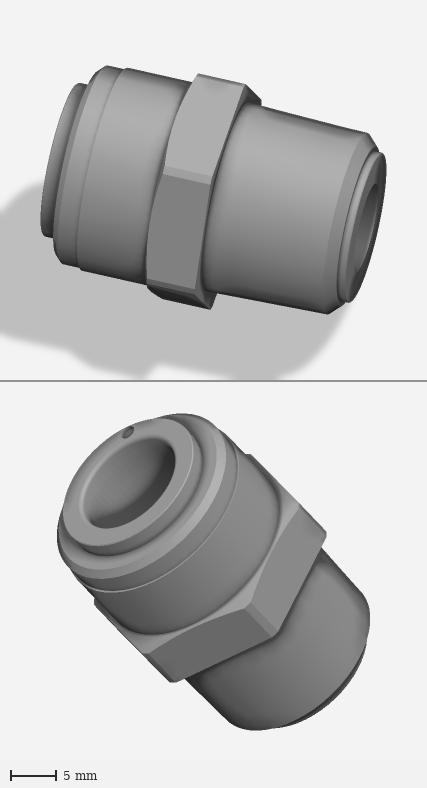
import cadquery as cq
import math

collar_front = 0.0
cap_front = 2.0
body_front = 5.0
hex_front = 12.95
hex_back = 19.1
thread_back = 34.0
nose_back = 34.9

collar_diameter = 17.4
tube_bore_diameter = 12.2
collar_mouth_radius = 0.5
edge_break = 0.1

cap_diameter = 22.5
cap_chamfer = 0.75

shoulder_diameter = 23.0
hex_across_flats = 24.0
hex_corner_diameter = 27.2
hex_bevel_diameter = 23.87
hex_bevel_depth = 0.65
thread_taper = 1 / 16
thread_root_diameter = 21.4
thread_chamfer = 1.22
nose_diameter = 17.0
through_bore_diameter = 10.0
tube_stop = hex_back

mark_diameter = 1.7
mark_depth = 0.5
collar_mark_radius = 7.68
cap_mark_radius = 8.95


def cylinder(diameter, start, end):
    """Cylinder on the X axis between two stations."""
    return cq.Workplane("YZ", origin=(start, 0, 0)).circle(diameter / 2).extrude(end - start)


def revolve_profile(points):
    """Solid of revolution about X from (station, radius) points."""
    return cq.Workplane("XY").polyline(points).close().revolve(360, (0, 0, 0), (1, 0, 0))


def mark_cutter(face_station, y, z):
    """Round recess that sinks into a face looking toward -X."""
    return (
        cq.Workplane("YZ", origin=(face_station, y, z))
        .circle(mark_diameter / 2)
        .extrude(mark_depth)
    )


def make_collar():
    collar = cylinder(collar_diameter, collar_front, body_front)
    collar = collar.faces("<X").chamfer(edge_break)
    collar = collar.cut(cylinder(tube_bore_diameter, collar_front, body_front))
    mouth_edge = cq.selectors.RadiusNthSelector(0)
    collar = collar.faces("<X").edges(mouth_edge).fillet(collar_mouth_radius)
    return collar.cut(mark_cutter(collar_front, 0, collar_mark_radius))


def make_cap():
    cap = cylinder(cap_diameter, cap_front, body_front)
    cap = cap.faces("<X").chamfer(cap_chamfer)
    cap = cap.cut(cylinder(collar_diameter, cap_front, body_front))
    return cap.cut(mark_cutter(cap_front, cap_mark_radius, 0))


def make_hexagon():
    """Hexagon with corners on +Y and -Y, rounded corners and a bevelled front face."""
    hexagon = (
        cq.Workplane("YZ", origin=(hex_front, 0, 0))
        .polygon(6, hex_across_flats / math.cos(math.radians(30)))
        .extrude(hex_back - hex_front)
    )
    envelope = revolve_profile([
        (hex_front, 0),
        (hex_front, hex_bevel_diameter / 2),
        (hex_front + hex_bevel_depth, hex_corner_diameter / 2),
        (hex_back, hex_corner_diameter / 2),
        (hex_back, 0),
    ])
    return hexagon.intersect(envelope)


def make_male_end():
    """Tapered thread envelope with its end chamfer and the nose beyond it."""
    chamfer_start = thread_back - thread_chamfer
    taper_length = chamfer_start - hex_back
    thread_end_radius = (thread_root_diameter - thread_taper * taper_length) / 2
    thread = revolve_profile([
        (hex_back, 0),
        (hex_back, thread_root_diameter / 2),
        (chamfer_start, thread_end_radius),
        (thread_back, thread_end_radius - thread_chamfer),
        (thread_back, 0),
    ])
    nose = cylinder(nose_diameter, thread_back, nose_back).faces(">X").chamfer(edge_break)
    return thread.union(nose)


def make_body():
    shoulder = cylinder(shoulder_diameter, body_front, hex_front)
    body = shoulder.union(make_hexagon()).union(make_male_end())
    body = body.cut(cylinder(tube_bore_diameter, body_front, tube_stop))
    return body.cut(cylinder(through_bore_diameter, tube_stop, nose_back))


collar = make_collar()
cap = make_cap()
body = make_body()

result = cq.Compound.makeCompound([collar.val(), cap.val(), body.val()])